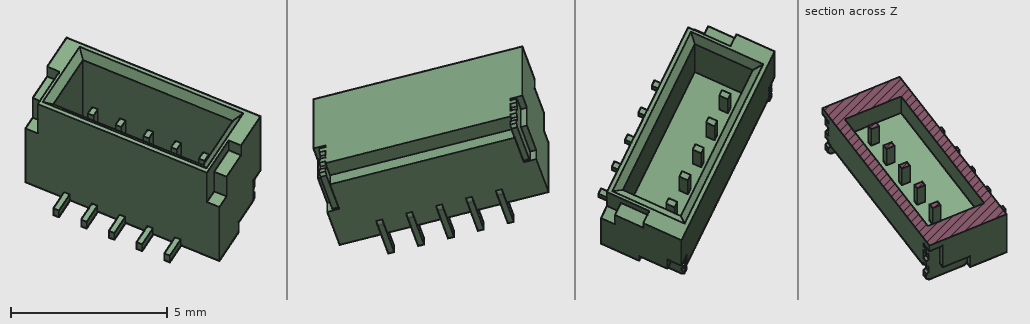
import cadquery as cq

width = 7.0
depth = 2.85
height = 4.3
standoff = 0.05

lead_in = 0.25
cavity_side_wall = 0.8
cavity_end_wall = 0.4
cavity_floor = 1.05

notch_width = 0.45
notch_short = 0.5
notch_long = 1.5

rear_step_depth = 0.5
rear_step_top = 0.55

tab_inset = 0.2
tab_thickness = 0.2
tab_top = 1.55
tab_arm_width = 0.5
tab_foot_length = 1.5
tab_foot_top = rear_step_top
tab_chamfer = 0.1
barb_notch_depth = 0.1
barb_notch_floor = 0.2
barb_notch_slope = 0.085
barb_notch_heights = (0.475, 1.065)

pin_count = 5
pin_pitch = 1.0
pin_width = 0.2
foot_height = 0.35
foot_reach = 0.75
foot_buried = 0.65
foot_bend_diameter = 0.5
pin_front = 1.645
pin_thickness = 0.3
pin_top = 2.55

def box(x_min, x_max, y_min, y_max, z_min, z_max):
    """Axis-aligned block given by its limits."""
    size = (x_max - x_min, y_max - y_min, z_max - z_min)
    return cq.Workplane("XY").box(*size, centered=False).translate((x_min, y_min, z_min))

def side_prism(outline, x_min, thickness):
    """Closed (Y, Z) outline extruded toward +X from x_min."""
    return cq.Workplane("YZ").workplane(offset=x_min).polyline(outline).close().extrude(thickness)

def both_sides(left_solid):
    """The given left-hand solid together with its mirror image."""
    return left_solid.union(left_solid.mirror("YZ"))

def cavity():
    """Rectangular pocket widening to the lead-in at the top."""
    length = width - 2 * cavity_side_wall
    breadth = depth - 2 * cavity_end_wall
    pocket = box(-length / 2, length / 2, cavity_end_wall, depth - cavity_end_wall, cavity_floor, height)
    mouth = (
        cq.Workplane("XY", origin=(0, depth / 2, height))
        .rect(length + 2 * lead_in, breadth + 2 * lead_in)
        .workplane(offset=-lead_in)
        .rect(length, breadth)
        .loft(ruled=True)
    )
    return pocket.union(mouth)

def polarising_notch():
    """Left-hand stepped notch: long and shallow, then short and deep."""
    x_min = -width / 2
    x_max = x_min + notch_width
    shallow = box(x_min, x_max, 0, notch_long, height - notch_short, height)
    deep = box(x_min, x_max, 0, notch_short, height - notch_long, height)
    return shallow.union(deep)

def tab_recess():
    """Left-hand L-shaped recess that seats the solder tab."""
    outline = [
        (depth, 0),
        (depth, tab_top),
        (depth - tab_arm_width, tab_top),
        (depth - tab_arm_width, tab_foot_top),
        (depth - tab_foot_length, tab_foot_top),
        (depth - tab_foot_length, 0),
    ]
    return side_prism(outline, -width / 2, tab_inset + tab_thickness)

def solder_tab():
    """Left-hand L-shaped tab with barb notches along its rear edge."""
    foot_end = depth - tab_foot_length
    outline = [
        (foot_end, tab_foot_top),
        (foot_end, tab_chamfer),
        (foot_end + tab_chamfer, 0),
        (depth - tab_chamfer, 0),
        (depth, tab_chamfer),
    ]
    for middle in barb_notch_heights:
        half_floor = barb_notch_floor / 2
        half_mouth = half_floor + barb_notch_slope
        outline += [
            (depth, middle - half_mouth),
            (depth - barb_notch_depth, middle - half_floor),
            (depth - barb_notch_depth, middle + half_floor),
            (depth, middle + half_mouth),
        ]
    outline += [
        (depth, tab_top - tab_chamfer),
        (depth - tab_chamfer, tab_top),
        (depth - tab_arm_width, tab_top),
        (depth - tab_arm_width, tab_foot_top),
    ]
    return side_prism(outline, -width / 2 + tab_inset, tab_thickness)

def contact(x_middle):
    """Solder foot with a rounded inner end, and the upright pin in the cavity."""
    x_min = x_middle - pin_width / 2
    x_max = x_middle + pin_width / 2
    foot = box(x_min, x_max, -foot_reach, foot_buried, 0, foot_height)
    foot = foot.edges(">Y and <Z").fillet(foot_bend_diameter / 2)
    pin = box(x_min, x_max, pin_front, pin_front + pin_thickness, rear_step_top, pin_top)
    return foot.union(pin)

housing = box(-width / 2, width / 2, 0, depth, standoff, height)
housing = housing.cut(cavity())
housing = housing.cut(both_sides(polarising_notch()))
housing = housing.cut(box(-width / 2, width / 2, depth - rear_step_depth, depth, 0, rear_step_top))
housing = housing.cut(both_sides(tab_recess()))

result = housing.union(both_sides(solder_tab()))
for index in range(pin_count):
    result = result.union(contact((index - (pin_count - 1) / 2) * pin_pitch))